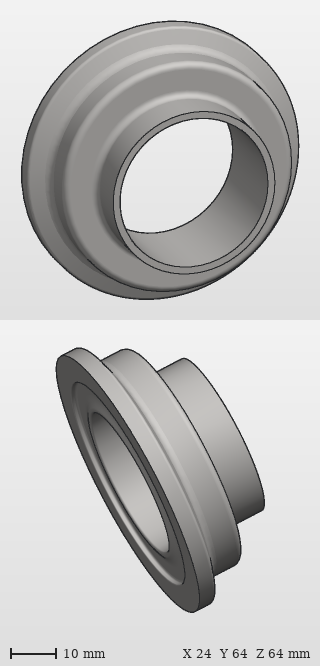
import cadquery as cq
import math

TOTAL_LENGTH = 24.0
FLANGE_RIM_END = 4.0
FLANGE_CONE_END = 5.9
SHOULDER_END = 14.1

FLANGE_RADIUS = 64 / 2
SHOULDER_RADIUS = 54.0 / 2
NECK_RADIUS = 38.1 / 2
BORE_RADIUS = 34.8 / 2

RIM_FILLET = 0.8
CONE_FILLET = 2.05
STEP_FILLET = 1.55

MATCH_TOLERANCE = 0.005

RECESS_RADIUS = 50.5 / 2
RECESS_DEPTH = 1.35
MOUTH_FILLET = 0.25
FLOOR_FILLET = 0.5

COVE_OUTER_RADIUS = 21.45
COVE_INNER_RADIUS = 18.8
CREST_OUTER_RADIUS = 18.25
LIP_SLOPE_DEGREES = 33
LIP_SLOPE = math.radians(LIP_SLOPE_DEGREES)
BORE_ROUND = 0.5


def arc_rise(width, angle):
    """Axial rise of an arc that starts flat, spans width and ends sloping at angle."""
    return width * math.tan(angle / 2)


def arc_middle(flat_x, flat_radius, end_radius, side):
    """Middle point of a lip arc; side is -1 if it bends to the back, 1 to the front."""
    arc_radius = (end_radius - flat_radius) / math.sin(LIP_SLOPE)
    radius = flat_radius + arc_radius * math.sin(LIP_SLOPE / 2)
    x = flat_x + side * abs(arc_radius) * (1 - math.cos(LIP_SLOPE / 2))
    return x, radius


def find_circle(body, x, radius):
    """Circular edge of the body lying at x with the given radius."""
    for edge in body.edges("%CIRCLE").vals():
        position_error = abs(edge.Center().x - x)
        radius_error = abs(edge.radius() - radius)
        if max(position_error, radius_error) < MATCH_TOLERANCE:
            return edge
    raise ValueError("no circular edge at this place")


def make_outer_body():
    """Solid flange, conical flange side, shoulder and neck."""
    profile = (
        cq.Workplane("XY")
        .moveTo(0, 0)
        .lineTo(0, FLANGE_RADIUS)
        .lineTo(FLANGE_RIM_END, FLANGE_RADIUS)
        .lineTo(FLANGE_CONE_END, SHOULDER_RADIUS)
        .lineTo(SHOULDER_END, SHOULDER_RADIUS)
        .lineTo(SHOULDER_END, NECK_RADIUS)
        .lineTo(TOTAL_LENGTH, NECK_RADIUS)
        .lineTo(TOTAL_LENGTH, 0)
        .close()
    )
    body = profile.revolve(360, (0, 0, 0), (1, 0, 0))
    corners = [
        (FLANGE_RIM_END, FLANGE_RADIUS, RIM_FILLET),
        (FLANGE_CONE_END, SHOULDER_RADIUS, CONE_FILLET),
        (SHOULDER_END, SHOULDER_RADIUS, STEP_FILLET),
        (SHOULDER_END, NECK_RADIUS, STEP_FILLET),
    ]
    for x, radius, fillet in corners:
        corner = find_circle(body, x, radius)
        body = body.newObject([corner]).fillet(fillet)
    return body


def make_inner_cut():
    """Through bore, lip and recess, removed as one revolved shape."""
    cove_x = RECESS_DEPTH - arc_rise(COVE_OUTER_RADIUS - COVE_INNER_RADIUS, LIP_SLOPE)
    crest_x = cove_x - arc_rise(COVE_INNER_RADIUS - CREST_OUTER_RADIUS, LIP_SLOPE)
    crest_inner_radius = BORE_RADIUS + BORE_ROUND
    diagonal = math.sqrt(0.5)
    bore_round_middle = (
        crest_x + BORE_ROUND * (1 - diagonal),
        crest_inner_radius - BORE_ROUND * diagonal,
    )
    floor_middle = (
        RECESS_DEPTH - FLOOR_FILLET * (1 - diagonal),
        RECESS_RADIUS - FLOOR_FILLET * (1 - diagonal),
    )
    mouth_middle = (
        MOUTH_FILLET * (1 - diagonal),
        RECESS_RADIUS + MOUTH_FILLET * (1 - diagonal),
    )
    profile = (
        cq.Workplane("XY")
        .moveTo(0, 0)
        .lineTo(TOTAL_LENGTH, 0)
        .lineTo(TOTAL_LENGTH, BORE_RADIUS)
        .lineTo(crest_x + BORE_ROUND, BORE_RADIUS)
        .threePointArc(bore_round_middle, (crest_x, crest_inner_radius))
        .lineTo(crest_x, CREST_OUTER_RADIUS)
        .threePointArc(
            arc_middle(crest_x, CREST_OUTER_RADIUS, COVE_INNER_RADIUS, 1),
            (cove_x, COVE_INNER_RADIUS),
        )
        .threePointArc(
            arc_middle(RECESS_DEPTH, COVE_OUTER_RADIUS, COVE_INNER_RADIUS, -1),
            (RECESS_DEPTH, COVE_OUTER_RADIUS),
        )
        .lineTo(RECESS_DEPTH, RECESS_RADIUS - FLOOR_FILLET)
        .threePointArc(floor_middle, (RECESS_DEPTH - FLOOR_FILLET, RECESS_RADIUS))
        .lineTo(MOUTH_FILLET, RECESS_RADIUS)
        .threePointArc(mouth_middle, (0, RECESS_RADIUS + MOUTH_FILLET))
        .close()
    )
    return profile.revolve(360, (0, 0, 0), (1, 0, 0))


result = make_outer_body().cut(make_inner_cut())